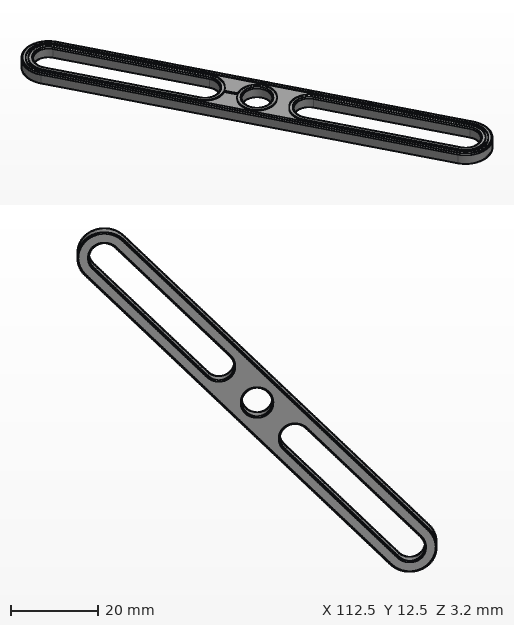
import cadquery as cq

length = 112.5
width = 12.5
thickness = 3.2
end_spacing = length - width

edge_chamfer = 0.3

bore = 7.0
slot_inner_center = 12.5
slot_outer_center = end_spacing / 2
slot_middle = (slot_outer_center + slot_inner_center) / 2
slot_travel = slot_outer_center - slot_inner_center
openings = [(-slot_middle, slot_travel), (0, 0), (slot_middle, slot_travel)]

outer_rim = 1.0
ring_diameter = 9.2
recess_depth = 0.25
floor_height = thickness - recess_depth

rib_width = 0.2
rib_length = slot_inner_center - bore
rib_center = -slot_inner_center / 2


def rounded_prism(center_x, travel, diameter, bottom, height):
    """Upright prism with round ends whose centers are `travel` apart; a cylinder when travel is 0."""
    sketch = cq.Workplane("XY", origin=(center_x, 0, bottom))
    if travel == 0:
        return sketch.circle(diameter / 2).extrude(height)
    return sketch.slot2D(travel + diameter, diameter).extrude(height)


def make_bar():
    bar = rounded_prism(0, end_spacing, width, 0, thickness)
    return bar.faces("<Z or >Z").chamfer(edge_chamfer)


def make_recess():
    """Recess cutter, with the rings and the rib left standing."""
    recess = rounded_prism(0, end_spacing, width - 2 * outer_rim, floor_height, recess_depth)
    for center_x, travel in openings:
        ring = rounded_prism(center_x, travel, ring_diameter, floor_height, recess_depth)
        recess = recess.cut(ring)
    rib = (
        cq.Workplane("XY", origin=(rib_center, 0, floor_height))
        .rect(rib_length, rib_width)
        .extrude(recess_depth)
    )
    return recess.cut(rib)


def make_opening(center_x, travel):
    """Through cutter that flares at both faces to chamfer the mouths."""
    mouth = bore + 2 * edge_chamfer
    flare_height = 2 * edge_chamfer
    core = rounded_prism(center_x, travel, bore, 0, thickness)
    lower = rounded_prism(center_x, travel, mouth, -edge_chamfer, flare_height)
    upper = rounded_prism(center_x, travel, mouth, thickness - edge_chamfer, flare_height)
    lower = lower.faces(">Z").chamfer(edge_chamfer)
    upper = upper.faces("<Z").chamfer(edge_chamfer)
    return core.union(lower).union(upper)


result = make_bar().cut(make_recess())
for center_x, travel in openings:
    result = result.cut(make_opening(center_x, travel))